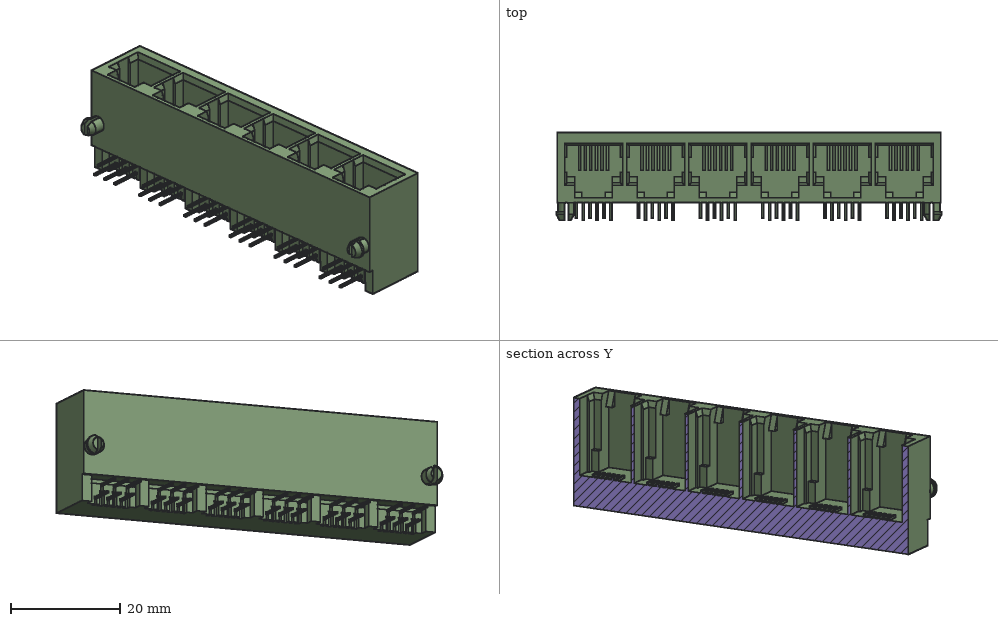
import cadquery as cq
import math


body_length = 70.4
body_depth = 12.88
body_height = 20.57
foot_setback = 0.86
foot_height = 4.91

port_count = 6
port_pitch = 11.4
port_centres = [(i - (port_count - 1) / 2) * port_pitch for i in range(port_count)]
port_width = 10.65
port_front = 3.21
port_back = 10.92
port_floor = 6.0
lead_in_inset = 0.43
lead_in_height = 1.17
side_slot_front = 5.57
side_slot_back = 8.35
key_width = 6.86
key_front = 0.86
latch_width = 1.28
latch_reach = 1.07
latch_ramp_height = 2.8
stop_depth = 1.07
stop_top = 10.0

circuits = 6
contact_pitch = 1.02
contact_height = 0.45
contact_front = 5.9
wire_width = 0.43
wire_thickness = 0.3
pin_pitch = 1.27
upper_pin_z = 3.72
lower_pin_z = 1.18
peg_length = 3.25
short_pin_trim = 0.42

recess_width = 9.6
recess_face = foot_setback + 1.9
pin_block_top = upper_pin_z + wire_thickness / 2
head_gap_width = 9.3
slot_depth = 1.2
wide_slot_width = 0.86
wide_slot_height = 2.6
lower_slot_height = 1.45
slot_end = recess_face + slot_depth

peg_radius = 1.5
barb_radius = 1.8
barb_overhang = 0.155
peg_x = body_length / 2 + barb_overhang - barb_radius
peg_z = 10.05
barb_start = 1.68
tip_start = 2.14
tip_taper = 0.6
peg_split = 0.7
peg_split_shift = 0.07


def block(x_mid, width, y_range, z_range):
    """Box centred on x_mid that spans the given Y and Z ranges."""
    y0, y1 = y_range
    z0, z1 = z_range
    corner = (x_mid - width / 2, y0, z0)
    return cq.Workplane("XY").box(width, y1 - y0, z1 - z0, centered=False).translate(corner)


def body_shell():
    """Plain body with its lower front edge stepped back."""
    body = block(0, body_length, (0, body_depth), (0, body_height))
    step = block(0, body_length, (0, foot_setback), (0, foot_height))
    return body.cut(step)


def latch_wedge(x_mid):
    """Ramp on the key slot's front wall, thickest at its flat lower end."""
    ramp_bottom = body_height - latch_ramp_height
    return (
        cq.Workplane("YZ")
        .polyline([
            (key_front, body_height),
            (key_front, ramp_bottom),
            (key_front + latch_reach, ramp_bottom),
        ])
        .close()
        .extrude(latch_width)
        .translate((x_mid - latch_width / 2, 0, 0))
    )


def port_cavity(x_mid):
    """Volume removed for one port, with the latch wedges and plug stops left standing."""
    inner_width = port_width - 2 * lead_in_inset
    inner_front = port_front + lead_in_inset
    inner_back = port_back - lead_in_inset
    full_height = (port_floor, body_height)

    taper = math.degrees(math.atan(lead_in_inset / lead_in_height))
    lead_in = (
        cq.Workplane("XY", origin=(x_mid, (port_front + port_back) / 2, body_height))
        .rect(port_width, port_back - port_front)
        .extrude(-lead_in_height, taper=taper)
    )
    cavity = block(x_mid, inner_width, (inner_front, inner_back), full_height)
    cavity = cavity.union(lead_in)
    cavity = cavity.union(block(x_mid, port_width, (side_slot_front, side_slot_back), full_height))
    cavity = cavity.union(block(x_mid, key_width, (key_front, inner_back), full_height))

    stop_width = (inner_width - key_width) / 2
    stop_offset = (inner_width + key_width) / 4
    latch_offset = (key_width - latch_width) / 2
    stop_y = (inner_front, inner_front + stop_depth)
    for side in (-1, 1):
        cavity = cavity.cut(latch_wedge(x_mid + side * latch_offset))
        cavity = cavity.cut(block(x_mid + side * stop_offset, stop_width, stop_y, (port_floor, stop_top)))
    return cavity


def port_contacts(x_mid):
    """Contact strips lying side by side on the port floor."""
    strips = []
    y_range = (contact_front, port_back - lead_in_inset)
    z_range = (port_floor, port_floor + contact_height)
    for i in range(circuits):
        x = x_mid + (i - (circuits - 1) / 2) * contact_pitch
        strips.append(block(x, wire_width, y_range, z_range))
    return strips


def pin_positions(x_mid):
    """X position of every pin of a port; even entries are lower pins, odd ones upper."""
    return [x_mid + (i - (circuits - 1) / 2) * pin_pitch for i in range(circuits)]


def pin_recess(x_mid):
    """Volume removed under one port: open recess, gap over the pin block, and pin slots."""
    recess = block(x_mid, recess_width, (0, recess_face), (0, foot_height))
    recess = recess.union(block(x_mid, head_gap_width, (0, slot_end), (pin_block_top, foot_height)))
    slot_y = (recess_face, slot_end)
    for i, x in enumerate(pin_positions(x_mid)):
        if i % 2 == 0:
            recess = recess.union(block(x, wire_width, slot_y, (0, lower_slot_height)))
        else:
            recess = recess.union(block(x, wire_width, slot_y, (0, pin_block_top)))
            recess = recess.union(block(x, wide_slot_width, slot_y, (0, wide_slot_height)))
    return recess


def port_pins(x_mid):
    """Two staggered rows of solder pins; the lower row is a little shorter."""
    pins = []
    root = slot_end + wire_width
    for i, x in enumerate(pin_positions(x_mid)):
        is_lower = i % 2 == 0
        z = lower_pin_z if is_lower else upper_pin_z
        tip = -peg_length + (short_pin_trim if is_lower else 0)
        z_range = (z - wire_thickness / 2, z + wire_thickness / 2)
        pins.append(block(x, wire_width, (tip, root), z_range))
    return pins


def peg_half(profile, side):
    """Half of a peg: a profile of (radius, distance from body) turned about the peg axis."""
    turned = (
        cq.Workplane("XY")
        .polyline([(radius, -distance) for radius, distance in profile])
        .close()
        .revolve(360, (0, 0, 0), (0, 1, 0))
    )
    keep = block(side * barb_radius, 2 * barb_radius, (-peg_length, 0), (-barb_radius, barb_radius))
    return turned.intersect(keep)


def peg_slot():
    """Slot that splits a peg lengthwise, with a round root against the body."""
    root_radius = peg_split / 2
    straight = block(0, peg_split, (-peg_length, -root_radius), (-barb_radius, barb_radius))
    root = (
        cq.Workplane("XY", origin=(0, -root_radius, -barb_radius))
        .circle(root_radius)
        .extrude(2 * barb_radius)
    )
    return straight.union(root)


def board_peg(side):
    """Split peg at one end of the body; only its outer half carries a barb."""
    plain_profile = [
        (0, 0),
        (peg_radius, 0),
        (peg_radius, tip_start),
        (peg_radius - tip_taper, peg_length),
        (0, peg_length),
    ]
    barbed_profile = [
        (0, 0),
        (peg_radius, 0),
        (peg_radius, barb_start),
        (barb_radius, barb_start),
        (barb_radius, tip_start),
        (barb_radius - tip_taper, peg_length),
        (0, peg_length),
    ]
    peg = peg_half(barbed_profile, side).union(peg_half(plain_profile, -side))
    peg = peg.cut(peg_slot().translate((-side * peg_split_shift, 0, 0)))
    return peg.translate((side * peg_x, 0, peg_z))


def shapes_of(features):
    """Bare shapes of all features, ready for a single boolean operation."""
    return [feature.val() for feature in features]


removed = []
added = [board_peg(-1), board_peg(1)]
for port_x in port_centres:
    removed += [port_cavity(port_x), pin_recess(port_x)]
    added += port_contacts(port_x) + port_pins(port_x)

housing = body_shell().val().cut(*shapes_of(removed))
jack_block = housing.fuse(*shapes_of(added)).Solids()[0]
result = cq.Workplane(jack_block)